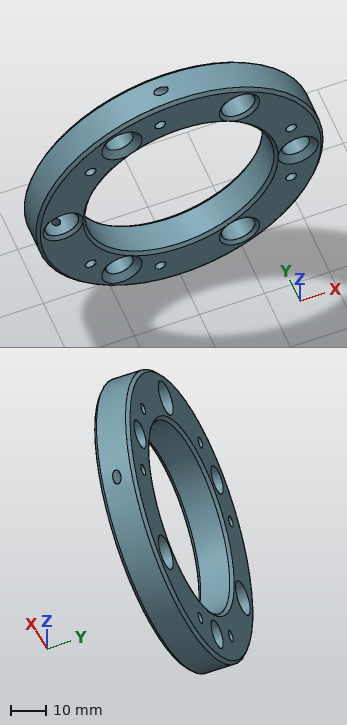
import cadquery as cq

outer_diameter = 88.2
bore_diameter = 58.0
thickness = 11.0
rim_chamfer = 1.0
front_y = -thickness / 2

bolt_circle_radius = 36.1
mouth_diameter = 12.35
countersunk_diameter = 8.5
clearance_diameter = 10.3
pin_diameter = 3.3
countersunk_angles = (0, 120, 240)
clearance_angles = (60, 180, 300)
pin_offset_angle = 20

cross_diameter = 2.5


def make_ring():
    """Ring with all four circular edges chamfered."""
    ring = (
        cq.Workplane("XZ", origin=(0, thickness / 2, 0))
        .circle(outer_diameter / 2)
        .circle(bore_diameter / 2)
        .extrude(thickness)
    )
    return ring.faces("<Y or >Y").edges().chamfer(rim_chamfer)


def at_angle(shape, angle):
    """Turn a shape about the ring axis, from +X toward +Z."""
    return shape.rotate((0, 0, 0), (0, -1, 0), angle)


def through_hole(diameter):
    """Cutter on the bolt circle at angle zero, through the full thickness."""
    return (
        cq.Workplane("XZ", origin=(bolt_circle_radius, thickness / 2, 0))
        .circle(diameter / 2)
        .extrude(thickness)
    )


def flared_hole(diameter):
    """Through hole with a 45 degree flare opening to the mouth on the front face."""
    flare_depth = (mouth_diameter - diameter) / 2
    flare = cq.Solid.makeCone(
        mouth_diameter / 2,
        diameter / 2,
        flare_depth,
        pnt=cq.Vector(bolt_circle_radius, front_y, 0),
        dir=cq.Vector(0, 1, 0),
    )
    return through_hole(diameter).union(cq.Workplane(obj=flare))


def cross_drilling():
    """Mid-thickness cutter, tangent to the bolt circle, from the hole at angle zero out past the rim."""
    return (
        cq.Workplane("XY", origin=(bolt_circle_radius, 0, 0))
        .circle(cross_diameter / 2)
        .extrude(outer_diameter / 2)
    )


result = make_ring()

for angle in countersunk_angles:
    result = result.cut(at_angle(flared_hole(countersunk_diameter), angle))
    for pin_angle in (angle - pin_offset_angle, angle + pin_offset_angle):
        result = result.cut(at_angle(through_hole(pin_diameter), pin_angle))

for angle in clearance_angles:
    result = result.cut(at_angle(flared_hole(clearance_diameter), angle))
    result = result.cut(at_angle(cross_drilling(), angle))